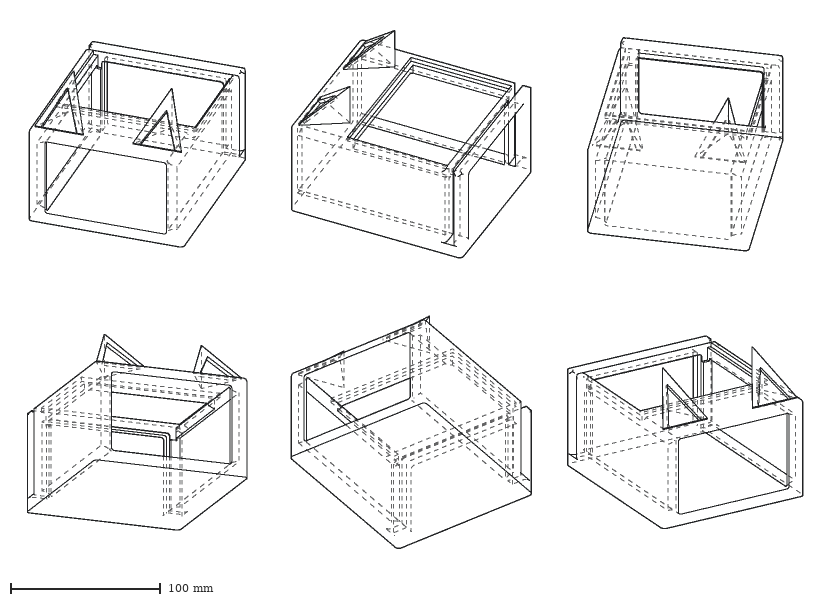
import cadquery as cq
import math

WIDTH = 110.0
LENGTH = 127.0
BOX_HEIGHT = 70.1
TOTAL_HEIGHT = 100.0
EDGE_RADIUS = 3.0
PLATE_TOP_RADIUS = 2.0
SEAT_LIP_RADIUS = 0.9
WALL = 3.0

SLOT_FRONT = 115.0
SLOT_REAR = 120.0
SLOT_FLOOR = 9.0

WINDOW_SIDE = 12.0
WINDOW_BOTTOM = 8.0
WINDOW_TOP = 63.0
WINDOW_RADIUS = 1.9

CAVITY_SIDE = 5.5
CAVITY_REAR = SLOT_FRONT - WALL
LEDGE_INNER = 12.6
LEDGE_RISE = 3.0
LEDGE_START = 8.4

SEAT_LEFT = 6.0
SEAT_RIGHT = 105.0
SEAT_FRONT = 40.0
SEAT_REAR = 114.2
SEAT_DEPTH = 3.0
OPENING_LEFT = 9.4
OPENING_RIGHT = 102.5
OPENING_FRONT = 43.0
OPENING_FLOOR = 57.9

EAR_SIDE = 34.4
EAR_INSET = 3.0
EAR_FRONT = 5.1
EAR_LIP = 0.6
EAR_POCKET_DEPTH = 2.5
LEFT_POCKET = {"start": 7.5, "end": 32.6, "tip": 18.8, "tip_height": 91.6}
RIGHT_POCKET = {"start": 77.2, "end": 102.1, "tip": 89.8, "tip_height": 89.2}

EAR_BASE = BOX_HEIGHT + EAR_LIP
WINDOW_MIDDLE = (WINDOW_BOTTOM + WINDOW_TOP) / 2
CAVITY_BOTTOM = LEDGE_START + LEDGE_RISE
CAVITY_TOP = 2 * WINDOW_MIDDLE - CAVITY_BOTTOM


def block(x_start, x_end, y_start, y_end, z_start, z_end):
    """Box given by its limits along each axis."""
    size = (x_end - x_start, y_end - y_start, z_end - z_start)
    return cq.Workplane("XY").box(*size, centered=False).translate((x_start, y_start, z_start))


def main_body():
    """Full-width body with rounded edges; its rear top edge has the smaller lip radius."""
    blank = block(0, WIDTH, 0, SLOT_FRONT, 0, BOX_HEIGHT)
    body = blank.edges("|Z or (>Z and (not >Y))").fillet(EDGE_RADIUS)
    return body.intersect(blank.edges(">Z and >Y").fillet(SEAT_LIP_RADIUS))


def rear_plate():
    """Plate behind the slot; its two long top edges have a smaller radius than its sides."""
    blank = block(0, WIDTH, SLOT_REAR, LENGTH, 0, BOX_HEIGHT)
    plate = blank.edges("|Z or (>Z and |Y)").fillet(EDGE_RADIUS)
    return plate.intersect(blank.edges(">Z and |X").fillet(PLATE_TOP_RADIUS))


def base():
    """Solid base that joins the main body and the rear plate below the slot."""
    return block(0, WIDTH, 0, LENGTH, 0, SLOT_FLOOR).edges("|Z").fillet(EDGE_RADIUS)


def window():
    """Rounded rectangular passage along the whole length."""
    passage = block(WINDOW_SIDE, WIDTH - WINDOW_SIDE, 0, LENGTH, WINDOW_BOTTOM, WINDOW_TOP)
    return passage.edges("|Y").fillet(WINDOW_RADIUS)


def cavity():
    """Hollow behind the jambs; each ledge is an arc that ends level at the side wall."""
    run = LEDGE_INNER - CAVITY_SIDE
    radius = (run**2 + LEDGE_RISE**2) / (2 * LEDGE_RISE)
    half_angle = math.atan2(LEDGE_RISE, run)
    arc_x = CAVITY_SIDE + radius * math.sin(half_angle)
    arc_z = CAVITY_BOTTOM - radius * (1 - math.cos(half_angle))
    upper_arc_z = 2 * WINDOW_MIDDLE - arc_z
    upper_start = 2 * WINDOW_MIDDLE - LEDGE_START
    left_half = (
        cq.Workplane("XZ", origin=(0, WALL, 0))
        .moveTo(WIDTH / 2, LEDGE_START)
        .lineTo(LEDGE_INNER, LEDGE_START)
        .threePointArc((arc_x, arc_z), (CAVITY_SIDE, CAVITY_BOTTOM))
        .lineTo(CAVITY_SIDE, CAVITY_TOP)
        .threePointArc((arc_x, upper_arc_z), (LEDGE_INNER, upper_start))
        .lineTo(WIDTH / 2, upper_start)
        .close()
        .extrude(-(CAVITY_REAR - WALL))
    )
    right_half = left_half.mirror("YZ", (WIDTH / 2, 0, 0))
    return left_half.union(right_half)


def lid_opening():
    """Stepped hole in the roof; its narrow part reaches down to the jamb tops."""
    seat = block(SEAT_LEFT, SEAT_RIGHT, SEAT_FRONT, SEAT_REAR, BOX_HEIGHT - SEAT_DEPTH, BOX_HEIGHT)
    hole = block(OPENING_LEFT, OPENING_RIGHT, OPENING_FRONT, SEAT_REAR, OPENING_FLOOR, BOX_HEIGHT)
    return seat.union(hole)


def ear(x_start, pocket):
    """Triangular prism cut by the sloping face, with a triangular pocket in that face."""
    x_end = x_start + EAR_SIDE
    tip_y = EAR_FRONT + EAR_SIDE * math.sqrt(3) / 2
    prism = (
        cq.Workplane("XY", origin=(0, 0, BOX_HEIGHT))
        .polyline([(x_start, EAR_FRONT), (x_end, EAR_FRONT), ((x_start + x_end) / 2, tip_y)])
        .close()
        .extrude(TOTAL_HEIGHT - BOX_HEIGHT)
    )
    run = tip_y - EAR_FRONT
    slope_cut = (
        cq.Workplane("YZ")
        .polyline([(EAR_FRONT, EAR_BASE), (tip_y, EAR_BASE + run), (EAR_FRONT, EAR_BASE + run)])
        .close()
        .extrude(WIDTH)
    )
    slope = cq.Plane(origin=(0, EAR_FRONT, EAR_BASE), xDir=(1, 0, 0), normal=(0, -1, 1))
    tip_along_slope = (pocket["tip_height"] - EAR_BASE) * math.sqrt(2)
    recess = (
        cq.Workplane(slope)
        .polyline([(pocket["start"], 0), (pocket["end"], 0), (pocket["tip"], tip_along_slope)])
        .close()
        .extrude(-EAR_POCKET_DEPTH)
    )
    return prism.cut(slope_cut), recess


rear_rim = cq.selectors.BoxSelector(
    (EDGE_RADIUS * 2, SLOT_REAR, EDGE_RADIUS),
    (WIDTH - EDGE_RADIUS * 2, LENGTH + EDGE_RADIUS, BOX_HEIGHT - EDGE_RADIUS),
)
result = main_body().union(rear_plate()).union(base()).cut(window())
result = result.faces(">Y").edges(rear_rim).fillet(PLATE_TOP_RADIUS)
result = result.cut(cavity()).cut(lid_opening())
right_ear_start = WIDTH - EAR_INSET - EAR_SIDE
for ear_start, ear_pocket in ((EAR_INSET, LEFT_POCKET), (right_ear_start, RIGHT_POCKET)):
    ear_body, ear_recess = ear(ear_start, ear_pocket)
    result = result.union(ear_body).cut(ear_recess)